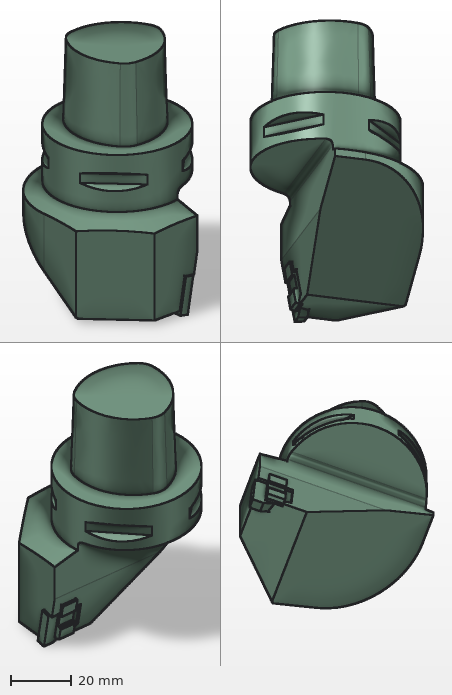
import cadquery as cq
import math


shank_length = 30.0
corner_center_radius = 10.6
corner_radius = 8.0
side_distance = 16.5
taper_inset = 0.92

flange_radius = 25.0
flange_height = 20.9
groove_count = 4
groove_depth = 2.6
groove_mid_z = -9.9
groove_floor_height = 3.5
groove_mouth_height = 6.6

back_y = 4.9
relief_top_z = -16.5
relief_tilt = 1.3
relief_fillet = 2.3

head_left = -27.2
head_right = 34.3
head_front = -32.7
head_arc_radius = -head_left
head_chamfer = 18.5
head_bottom_z = -56.0
shoulder_angle = 15.0
underside_left_z = -24.3
underside_angle = 36.0
bottom_edge_chamfer = 0.5

seat_top_z = -36.4
seat_tilt = 10.3
cut_reach = 52.8

insert_right = 35.0
insert_left = 22.0
insert_sink = 1.0
insert_thickness = 3.3
insert_top_s = 8.3
tip_z = -58.0
insert_flat = 3.8
insert_flank_angle = 29.0

clamp_left = 24.6
clamp_width = 6.2
clamp_heel_start = 4.5
clamp_heel_end = 9.2
clamp_heel_rise = 0.8
clamp_nose_start = 14.1
clamp_nose_end = 19.1
clamp_nose_tip = 19.9
clamp_nose_rise = 1.3
clamp_nose_chamfer = 0.5

tilt = math.radians(seat_tilt)
seat_plane = cq.Plane(
    origin=(0, back_y, seat_top_z),
    xDir=(-1, 0, 0),
    normal=(0, math.cos(tilt), -math.sin(tilt)),
)
tip_y = back_y - (seat_top_z - tip_z) * math.tan(tilt) - insert_sink / math.cos(tilt)
insert_bottom_s = (seat_top_z - tip_z) * math.cos(tilt) + (back_y - tip_y) * math.sin(tilt)


def polar(radius, degrees):
    angle = math.radians(degrees)
    return cq.Vector(radius * math.cos(angle), radius * math.sin(angle))


def lobed_section(z, inset):
    """Closed three-lobed wire with one corner toward +Y, moved inward by inset."""
    round_radius = corner_radius - inset
    side_reach = side_distance - inset
    gap = side_reach - round_radius
    side_center_radius = (corner_center_radius**2 - gap**2) / (2 * gap - corner_center_radius)
    edges = []
    for corner_angle in (90, 210, 330):
        corner_center = polar(corner_center_radius, corner_angle)
        next_center = polar(corner_center_radius, corner_angle + 120)
        previous_side_center = polar(side_center_radius, corner_angle + 120)
        next_side_center = polar(side_center_radius, corner_angle - 120)
        start = corner_center + (corner_center - previous_side_center).normalized() * round_radius
        corner_mid = polar(corner_center_radius + round_radius, corner_angle)
        end = corner_center + (corner_center - next_side_center).normalized() * round_radius
        side_mid = polar(side_reach, corner_angle + 60)
        side_end = next_center + (next_center - next_side_center).normalized() * round_radius
        edges.append(cq.Edge.makeThreePointArc(start, corner_mid, end))
        edges.append(cq.Edge.makeThreePointArc(end, side_mid, side_end))
    return cq.Wire.assembleEdges(edges).translate(cq.Vector(0, 0, z))


def make_shank():
    base = lobed_section(0, 0)
    tip = lobed_section(shank_length, taper_inset)
    return cq.Workplane(obj=cq.Solid.makeLoft([base, tip], True))


def gripper_groove(angle):
    """Straight groove with sloping walls and a flat floor, cut across the flange rim."""
    floor = flange_radius - groove_depth
    floor_half = groove_floor_height / 2
    mouth_half = groove_mouth_height / 2
    profile = [
        (floor, groove_mid_z - floor_half),
        (flange_radius, groove_mid_z - mouth_half),
        (flange_radius, groove_mid_z + mouth_half),
        (floor, groove_mid_z + floor_half),
    ]
    groove = cq.Workplane("XZ").polyline(profile).close().extrude(flange_radius, both=True)
    return groove.rotate((0, 0, 0), (0, 0, 1), angle)


def make_flange():
    flange = cq.Workplane("XY").circle(flange_radius).extrude(-flange_height)
    step = 360 / groove_count
    for index in range(groove_count):
        flange = flange.cut(gripper_groove((index + 0.5) * step))
    return flange


def back_relief():
    """Space behind the head, below the rear part of the flange."""
    inner_z = relief_top_z - (flange_radius - back_y) * math.tan(math.radians(relief_tilt))
    profile = [
        (back_y, inner_z),
        (flange_radius, relief_top_z),
        (flange_radius, -flange_height),
        (back_y, -flange_height),
    ]
    relief = cq.Workplane("YZ").polyline(profile).close().extrude(flange_radius, both=True)
    return relief.edges(cq.selectors.NearestToPointSelector((0, back_y, inner_z))).fillet(relief_fillet)


def make_head():
    arc_center_y = head_front + head_arc_radius
    arc_mid = polar(head_arc_radius, 225) + cq.Vector(0, arc_center_y)
    head_height = -flange_height - head_bottom_z
    head = (
        cq.Workplane("XY", origin=(0, 0, head_bottom_z))
        .moveTo(head_left, back_y)
        .lineTo(head_left, arc_center_y)
        .threePointArc((arc_mid.x, arc_mid.y), (0, head_front))
        .lineTo(head_right - head_chamfer, head_front)
        .lineTo(head_right, head_front + head_chamfer)
        .lineTo(head_right, back_y)
        .close()
        .extrude(head_height)
        .faces("<Y").edges("<Z").chamfer(bottom_edge_chamfer)
    )
    cone_radius = flange_radius + head_height / math.tan(math.radians(shoulder_angle))
    shoulder = cq.Solid.makeCone(
        cone_radius, flange_radius, head_height, cq.Vector(0, 0, head_bottom_z)
    )
    return head.intersect(cq.Workplane(obj=shoulder)).cut(underside_cut()).cut(seat_cut())


def underside_cut():
    """Wedge below the sloping underside, from the left edge down to the flat bottom."""
    run = (underside_left_z - head_bottom_z) / math.tan(math.radians(underside_angle))
    profile = [
        (head_left, underside_left_z),
        (head_left + run, head_bottom_z),
        (head_left, head_bottom_z),
    ]
    return cq.Workplane("XZ").polyline(profile).close().extrude(cut_reach, both=True)


def seat_cut():
    """Wedge behind the tilted seat face."""
    profile = [
        (back_y, seat_top_z),
        (back_y - cut_reach * math.tan(tilt), seat_top_z - cut_reach),
        (back_y, seat_top_z - cut_reach),
    ]
    return cq.Workplane("YZ").polyline(profile).close().extrude(cut_reach, both=True)


def insert_prism(height):
    """Insert outline raised by height from the pocket floor."""
    flank_run = insert_right - insert_flat - insert_left
    flank_top_s = insert_bottom_s - flank_run * math.tan(math.radians(insert_flank_angle))
    outline = [
        (insert_right, insert_top_s),
        (insert_right, insert_bottom_s),
        (insert_right - insert_flat, insert_bottom_s),
        (insert_left, flank_top_s),
        (insert_left, insert_top_s),
    ]
    return (
        cq.Workplane(seat_plane)
        .workplane(offset=-insert_sink - insert_thickness)
        .polyline([(-x, -s) for x, s in outline])
        .close()
        .extrude(height)
    )


def make_clamp():
    """Bar along the seat with a raised heel and a raised nose resting on the insert."""
    profile = [
        (clamp_heel_start, -insert_sink),
        (clamp_heel_start, clamp_heel_rise),
        (clamp_heel_end, clamp_heel_rise),
        (clamp_heel_end, 0),
        (clamp_nose_start, 0),
        (clamp_nose_start, clamp_nose_rise - clamp_nose_chamfer),
        (clamp_nose_start + clamp_nose_chamfer, clamp_nose_rise),
        (clamp_nose_end, clamp_nose_rise),
        (clamp_nose_tip, 0),
        (clamp_nose_tip, -insert_sink),
    ]
    return (
        cq.Workplane(seat_profile_plane())
        .polyline(profile)
        .close()
        .extrude(clamp_width)
    )


def seat_profile_plane():
    """Plane across the seat: x runs down the seat, y away from it, normal along +X."""
    return cq.Plane(
        origin=(clamp_left, back_y, seat_top_z),
        xDir=(0, -math.sin(tilt), -math.cos(tilt)),
        normal=(1, 0, 0),
    )


insert = insert_prism(insert_thickness)
clamp = make_clamp()

holder = make_flange().cut(back_relief()).union(make_head()).union(make_shank())
holder = holder.cut(insert_prism(cut_reach)).cut(clamp).solids()

result = cq.Compound.makeCompound([holder.val(), insert.val(), clamp.val()])